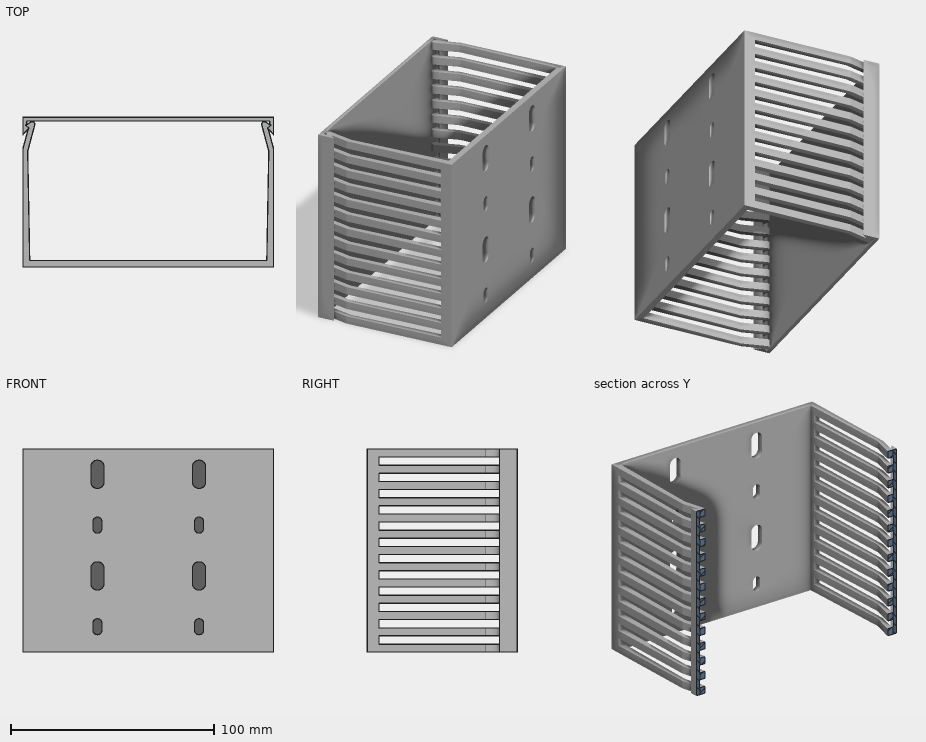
import cadquery as cq
import math

width = 123.5
depth = 73.9
length = 100.0
half_width = width / 2

floor_thickness = 3.3
wall_root_thickness = 3.5
wall_bend_thickness = 2.5
outer_bend_y = depth - 15.7
inner_bend_y = depth - 16.8
finger_lean = math.tan(math.radians(15))

head_end_drop = 2.3
head_inner_corner_drop = 3.1
head_inner_side_drop = 4.0
head_end_chamfer = 0.6
head_end_width = 1.2
nose_inset = 1.4
nose_drop = 4.1

lid_thickness = 2.0
lip_thickness = 2.0
lip_length = 8.8
groove_start_drop = 3.5
hook_tip_inset = 3.1
hook_tip_drop = 5.4

slot_count = 12
slot_width = length / (2 * slot_count + 1)
slot_start_y = 5.8

hole_column_spacing = 50.0
hole_row_count = 4
hole_row_spacing = length / hole_row_count
large_hole = (14.0, 6.5)
small_hole = (7.9, 4.5)


def mirrored_prism(left_points):
    """Extrude along Z the outline made of left_points and their mirror image across X = 0."""
    right_points = [(-x, y) for x, y in reversed(left_points)]
    return cq.Workplane("XY").polyline(left_points + right_points).close().extrude(length)


def inset_point(inset, drop):
    """A point measured inward from the left side and forward from the back of the lid."""
    return (-half_width + inset, depth - drop)


def finger_outer_inset(drop):
    """Inset of the leaning finger's outer face."""
    return (depth - drop - outer_bend_y) * finger_lean


def finger_inner_inset(drop):
    """Inset of the leaning finger's inner face."""
    return wall_bend_thickness + (depth - drop - inner_bend_y) * finger_lean


def duct_blank():
    """Channel with leaning, barbed walls before any openings are cut."""
    inner_side_inset = finger_inner_inset(head_inner_side_drop)
    end_inner_inset = inner_side_inset - head_end_chamfer
    return mirrored_prism([
        (-half_width, 0),
        (-half_width, outer_bend_y),
        inset_point(finger_outer_inset(hook_tip_drop), hook_tip_drop),
        inset_point(nose_inset, nose_drop),
        inset_point(end_inner_inset - head_end_width, head_end_drop),
        inset_point(end_inner_inset, head_end_drop),
        inset_point(inner_side_inset, head_inner_corner_drop),
        inset_point(inner_side_inset, head_inner_side_drop),
        (-half_width + wall_bend_thickness, inner_bend_y),
        (-half_width + wall_root_thickness, floor_thickness),
    ])


def side_slots():
    """Boxes across both walls, open at the finger ends."""
    slots = cq.Workplane("XY")
    for index in range(slot_count):
        slot_bottom = (2 * index + 1) * slot_width
        slot = cq.Workplane("XY").box(width, depth - slot_start_y, slot_width, centered=(True, False, False))
        slots = slots.add(slot.translate((0, slot_start_y, slot_bottom)))
    return slots.combine()


def floor_holes():
    holes = cq.Workplane("XZ")
    for row in range(hole_row_count):
        row_z = (row + 0.5) * hole_row_spacing
        hole_length, hole_width = small_hole if row % 2 == 0 else large_hole
        row_holes = (
            cq.Workplane("XZ")
            .pushPoints([(-hole_column_spacing / 2, row_z), (hole_column_spacing / 2, row_z)])
            .slot2D(hole_length, hole_width, 90)
            .extrude(-floor_thickness)
        )
        holes = holes.add(row_holes)
    return holes.combine()


def make_duct(lid):
    """Slotted duct; the fingers are notched where the lid's hooks press into them."""
    return duct_blank().cut(side_slots()).cut(floor_holes()).cut(lid)


def make_lid():
    """Flat cover with a hooked lip along each side; a groove above each hook takes the finger noses."""
    return mirrored_prism([
        inset_point(0, 0),
        inset_point(0, lip_length),
        inset_point(hook_tip_inset, hook_tip_drop),
        inset_point(nose_inset, nose_drop),
        inset_point(lip_thickness, groove_start_drop),
        inset_point(lip_thickness, lid_thickness),
    ])


lid = make_lid()
duct = make_duct(lid)

result = cq.Compound.makeCompound([duct.solids().val(), lid.val()])